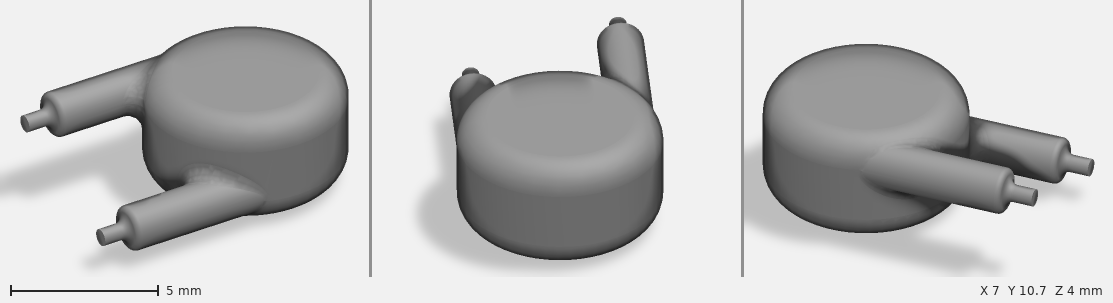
import cadquery as cq

body_diameter = 7.0
body_height = 4.0
overall_length = 10.7
body_edge_radius = 1.0

lead_spacing = 5.0
lead_height_offset = 0.9
sleeve_radius = 0.8
sleeve_end_radius = 0.2
wire_radius = 0.3
bare_wire_length = 1.0
blend_radius = 0.5

body_radius = body_diameter / 2
lead_length = overall_length - body_radius
sleeve_length = lead_length - bare_wire_length
shoulder = sleeve_length - sleeve_end_radius
flare_radius = sleeve_radius - sleeve_end_radius - wire_radius


def make_body():
    """Round disc with rounded top and bottom rims, centred on the origin."""
    disc = cq.Workplane("XY", origin=(0, 0, -body_height / 2)).circle(body_radius).extrude(body_height)
    return disc.faces("|Z").edges().fillet(body_edge_radius)


def make_sleeve(x, z):
    """Plain cylinder from inside the body toward -Y, up to the shoulder of the rounded tip."""
    return cq.Workplane("XZ", origin=(x, 0, z)).circle(sleeve_radius).extrude(shoulder)


def make_tip(x, z):
    """Rounded sleeve end flaring concavely down to the bare wire, revolved about the lead axis."""
    diagonal = 0.5 ** 0.5
    rim = sleeve_radius - sleeve_end_radius
    flare_end = sleeve_length + flare_radius
    profile = (
        cq.Workplane("XY", origin=(x, 0, z))
        .moveTo(0, -shoulder)
        .lineTo(sleeve_radius, -shoulder)
        .threePointArc(
            (rim + sleeve_end_radius * diagonal, -shoulder - sleeve_end_radius * diagonal),
            (rim, -sleeve_length),
        )
        .threePointArc(
            (rim - flare_radius * diagonal, -flare_end + flare_radius * diagonal),
            (wire_radius, -flare_end),
        )
        .lineTo(wire_radius, -lead_length)
        .lineTo(0, -lead_length)
        .close()
    )
    return profile.revolve(360, (0, 0, 0), (0, 1, 0))


lead_positions = [
    (-lead_spacing / 2, lead_height_offset),
    (lead_spacing / 2, -lead_height_offset),
]

result = make_body()
for x, z in lead_positions:
    result = result.union(make_sleeve(x, z))

seams = [
    edge
    for edge in result.edges().vals()
    if edge.geomType() not in ("CIRCLE", "LINE")
]
result = result.newObject(seams).fillet(blend_radius)

for x, z in lead_positions:
    result = result.union(make_tip(x, z))